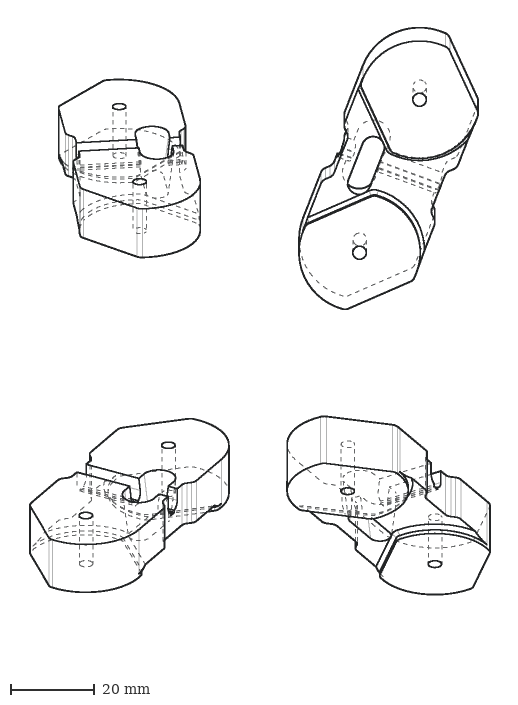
import cadquery as cq
import math

overall_length = 54.5
height = 13.0

end_radius = 14.5
flat_distance = 11.5
corner_radius = 2.0
pin_hole_diameter = 3.2

pin_offset = (overall_length - end_radius - flat_distance) / 2
pin_distance = pin_offset * math.sqrt(2)

recess_depth = 2.0
pad_flare = recess_depth / 2

notch_depth = 2.0
notch_half_width = 7.2

channel_radius = 2.25
channel_axis_depth = 3.1
groove_width = 1.5
groove_depth = 5.8

slot_offset = 6.0
slot_spacing = 9.5
slot_top_radius = 4.05
slot_bottom_radius = 2.65


def on_diagonal(shape):
    """Turn a shape built along X onto the -45 degree diagonal."""
    return shape.rotate((0, 0, 0), (0, 0, 1), -45)


def flatted_disc(thickness):
    """Disc about the origin with flats at -X and +X and rounded corners."""
    half_flat = math.sqrt(end_radius**2 - flat_distance**2)
    return (
        cq.Workplane("XY")
        .moveTo(-flat_distance, -half_flat)
        .threePointArc((0, -end_radius), (flat_distance, -half_flat))
        .lineTo(flat_distance, half_flat)
        .threePointArc((0, end_radius), (-flat_distance, half_flat))
        .close()
        .extrude(thickness)
        .edges("|Z")
        .fillet(corner_radius)
    )


def at_both_ends(shape):
    """Put a shape at the -X +Y pin, and a copy given a quarter turn at the +X -Y pin."""
    first = shape.translate((-pin_offset, pin_offset, 0))
    second = shape.rotate((0, 0, 0), (0, 0, 1), 90).translate((pin_offset, -pin_offset, 0))
    return first.union(second)


def notch(side):
    """Trapezoid prism that narrows the waist on one long side."""
    floor = end_radius - notch_depth
    floor_half_width = notch_half_width - notch_depth
    half = [(-notch_half_width, end_radius), (-floor_half_width, floor)]
    points = half + [(-x, y) for x, y in reversed(half)]
    return cq.Workplane("XY").polyline([(x, side * y) for x, y in points]).close().extrude(height)


def outline_prism():
    """Full-height body: two flatted discs joined by a straight, notched middle."""
    middle = cq.Workplane("XY").rect(2 * pin_distance, 2 * end_radius).extrude(height)
    middle = middle.cut(notch(1)).cut(notch(-1))
    reach_x = (notch_half_width + pin_distance) / 2
    reach_y = 2 * end_radius
    waist = cq.selectors.BoxSelector((-reach_x, -reach_y, 0), (reach_x, reach_y, height))
    middle = middle.edges("|Z").edges(waist).fillet(corner_radius)
    return at_both_ends(flatted_disc(height)).union(on_diagonal(middle))


def underside_recess():
    """Everything below the recess floor except the two flared pads."""
    pad = flatted_disc(recess_depth - pad_flare)
    pad = pad.faces(">Z").wires().toPending().workplane().extrude(pad_flare, taper=-45)
    slab = cq.Workplane("XY").rect(2 * overall_length, 2 * overall_length).extrude(recess_depth)
    return slab.cut(at_both_ends(pad))


def channel():
    """Channel and floor groove running the full width of the waist."""
    axis_height = height - channel_axis_depth
    length = 2 * end_radius
    round_floor = (
        cq.Workplane("XZ", origin=(0, end_radius, 0))
        .moveTo(-channel_radius, height)
        .lineTo(-channel_radius, axis_height)
        .threePointArc((0, axis_height - channel_radius), (channel_radius, axis_height))
        .lineTo(channel_radius, height)
        .close()
        .extrude(length)
    )
    groove = cq.Workplane("XY").box(groove_width, length, groove_depth, centered=(True, True, False))
    return round_floor.union(groove.translate((0, 0, height - groove_depth)))


def tapered_slot():
    """Obround slot, widest at the top face and narrowest at the recess floor."""
    top_length = slot_spacing + 2 * slot_top_radius
    depth = height - recess_depth
    draft = math.degrees(math.atan((slot_top_radius - slot_bottom_radius) / depth))
    return (
        cq.Workplane("XY", origin=(0, slot_offset, height))
        .slot2D(top_length, 2 * slot_top_radius)
        .extrude(-depth, taper=draft)
    )


pin_holes = at_both_ends(cq.Workplane("XY").circle(pin_hole_diameter / 2).extrude(height))

result = (
    outline_prism()
    .cut(underside_recess())
    .cut(on_diagonal(channel()))
    .cut(on_diagonal(tapered_slot()))
    .cut(pin_holes)
)